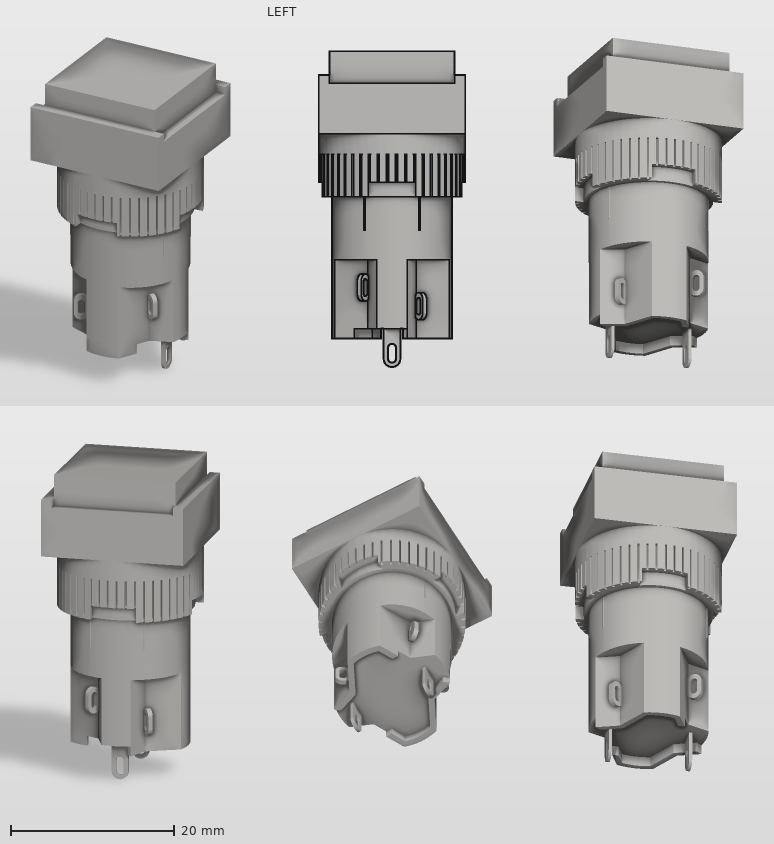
import cadquery as cq
import math

TOP_Z = 38.7
BEZEL_TOP_Z = 35.8
FINGER_LEDGE_Z = 34.75
BEZEL_BOTTOM_Z = 28.6
NUT_BOTTOM_Z = 20.85
GUIDE_BOTTOM_Z = 16.8
POCKET_TOP_Z = 13.15
SKIRT_TOP_Z = 4.72
SKIRT_BOTTOM_Z = 3.5

BEZEL_WIDTH = 18.0
CAP_WIDTH = 15.35

BARREL_RADIUS = 14.7 / 2
GUIDE_LENGTH = 13.15
GUIDE_WIDTH = 6.9

POCKET_CORNER = (4.3, 2.98)
POCKET_SIDE_Y = 1.85
POCKET_FRONT_X = 2.3

SKIRT_WALL = 0.75
OPENING_INNER = (6.45, 1.35)
OPENING_END_Y = -4.6

TERMINAL_X = 5.07
TERMINAL_THICKNESS = 0.4
TERMINAL_WIDTH = 2.1
TERMINAL_SLOT_WIDTH = 0.95
TERMINAL_SLOT_LENGTH = 2.3
TERMINAL_SLOT_Z = 1.7

LUG_ANGLE = 35.0
LUG_RADIUS = 6.08
LUG_THICKNESS = 0.58
LUG_WIDTH = 1.85
LUG_HEIGHT = 3.33
LUG_SLOT_WIDTH = 0.85
LUG_SLOT_HEIGHT = 2.1
LUG_LOW_Z = 7.45
LUG_HIGH_Z = 9.75

NUT_RADIUS = BEZEL_WIDTH / 2
NOTCH_WIDTH = 5.75
NOTCH_HEIGHT = 1.78
NOTCH_RADIUS = 7.95
NOTCH_COUNT = 4
GROOVE_COUNT = 50
GROOVE_WIDTH = 0.25
GROOVE_DEPTH = 0.45
GROOVE_TOP_Z = 26.1


def cylinder(radius, bottom, top):
    return cq.Workplane("XY").workplane(offset=bottom).circle(radius).extrude(top - bottom)


def block(x_size, y_size, bottom, top):
    return cq.Workplane("XY").workplane(offset=bottom).rect(x_size, y_size).extrude(top - bottom)


def make_head():
    """Square bezel with the cap on top and a finger recess along its -X and +X edges."""
    bezel = block(BEZEL_WIDTH, BEZEL_WIDTH, BEZEL_BOTTOM_Z, BEZEL_TOP_Z)
    finger_recess = block(BEZEL_WIDTH, CAP_WIDTH, FINGER_LEDGE_Z, BEZEL_TOP_Z)
    cap = block(CAP_WIDTH, CAP_WIDTH, FINGER_LEDGE_Z, TOP_Z)
    return bezel.cut(finger_recess).union(cap)


def make_guide():
    """Rectangular bar along the barrel axis, reaching up to the bezel."""
    return block(GUIDE_LENGTH, GUIDE_WIDTH, GUIDE_BOTTOM_Z, BEZEL_BOTTOM_Z)


def make_pockets(margin, top):
    """Four mirrored V prisms whose walls are moved into the barrel by the margin."""
    corner_x, corner_y = POCKET_CORNER
    side_x = math.sqrt(BARREL_RADIUS**2 - POCKET_SIDE_Y**2)
    front_y = math.sqrt(BARREL_RADIUS**2 - POCKET_FRONT_X**2)
    side_end = (2 * side_x - corner_x, 2 * POCKET_SIDE_Y - corner_y)
    front_end = (2 * POCKET_FRONT_X - corner_x, 2 * front_y - corner_y)
    outline = cq.Workplane("XY").workplane(offset=SKIRT_BOTTOM_Z)
    outline = outline.polyline([POCKET_CORNER, side_end, (side_end[0], front_end[1]), front_end]).close()
    if margin > 0:
        outline = outline.offset2D(margin, "intersection")
    pocket = outline.extrude(top - SKIRT_BOTTOM_Z)
    pair = pocket.union(pocket.mirror("XZ"))
    return pair.union(pair.mirror("YZ"))


def make_skirt_cavity():
    """Hollow that leaves a wall of even thickness along the barrel and the pockets."""
    hollow = cylinder(BARREL_RADIUS - SKIRT_WALL, SKIRT_BOTTOM_Z, SKIRT_TOP_Z)
    return hollow.cut(make_pockets(SKIRT_WALL, SKIRT_TOP_Z))


def make_skirt_opening():
    """Gap in the skirt wall around the +X terminal and the +X -Y pocket corner."""
    inner_x, inner_y = OPENING_INNER
    outer_y = POCKET_SIDE_Y
    outer_x = math.sqrt(BARREL_RADIUS**2 - outer_y**2)
    beyond = (2 * outer_x - inner_x, 2 * outer_y - inner_y)
    outline = [(0, 0), OPENING_INNER, beyond, (beyond[0], OPENING_END_Y), (0, OPENING_END_Y)]
    gap = cq.Workplane("XY").workplane(offset=SKIRT_BOTTOM_Z).polyline(outline).close()
    return gap.extrude(SKIRT_TOP_Z - SKIRT_BOTTOM_Z)


def make_terminal(x):
    """Straight terminal with a round tip and a solder slot."""
    blade = (
        cq.Workplane("YZ")
        .moveTo(-TERMINAL_WIDTH / 2, SKIRT_TOP_Z)
        .lineTo(-TERMINAL_WIDTH / 2, TERMINAL_WIDTH / 2)
        .threePointArc((0, 0), (TERMINAL_WIDTH / 2, TERMINAL_WIDTH / 2))
        .lineTo(TERMINAL_WIDTH / 2, SKIRT_TOP_Z)
        .close()
        .extrude(TERMINAL_THICKNESS / 2, both=True)
    )
    slot = (
        cq.Workplane("YZ")
        .center(0, TERMINAL_SLOT_Z)
        .slot2D(TERMINAL_SLOT_LENGTH, TERMINAL_SLOT_WIDTH, 90)
        .extrude(TERMINAL_THICKNESS, both=True)
    )
    return blade.cut(slot).translate((x, 0, 0))


def make_lug(angle, z):
    """Upright rounded lug with a slot, standing radially in a pocket corner."""
    profile = cq.Workplane("XZ").center(LUG_RADIUS, z)
    plate = profile.slot2D(LUG_HEIGHT, LUG_WIDTH, 90).extrude(LUG_THICKNESS / 2, both=True)
    slot = profile.slot2D(LUG_SLOT_HEIGHT, LUG_SLOT_WIDTH, 90).extrude(LUG_THICKNESS, both=True)
    return plate.cut(slot).rotate((0, 0, 0), (0, 0, 1), angle)


def make_switch():
    """Head, barrel, skirt and terminals in one piece."""
    switch = cylinder(BARREL_RADIUS, SKIRT_BOTTOM_Z, BEZEL_BOTTOM_Z)
    switch = switch.union(make_guide())
    switch = switch.cut(make_pockets(0, POCKET_TOP_Z))
    switch = switch.cut(make_skirt_cavity())
    opening = make_skirt_opening()
    for turn in (0, 180):
        switch = switch.cut(opening.rotate((0, 0, 0), (0, 0, 1), turn))
    switch = switch.union(make_head())
    for x in (-TERMINAL_X, TERMINAL_X):
        switch = switch.union(make_terminal(x))
    for turn in (0, 180):
        switch = switch.union(make_lug(turn + LUG_ANGLE, LUG_LOW_Z))
        switch = switch.union(make_lug(turn - LUG_ANGLE, LUG_HIGH_Z))
    return switch


def make_nut():
    """Ring under the bezel with grooves all round and four notches in its lower edge."""
    nut = cylinder(NUT_RADIUS, NUT_BOTTOM_Z, BEZEL_BOTTOM_Z)
    groove = (
        block(2 * GROOVE_DEPTH, GROOVE_WIDTH, NUT_BOTTOM_Z, GROOVE_TOP_Z)
        .translate((NUT_RADIUS, 0, 0))
    )
    for index in range(GROOVE_COUNT):
        nut = nut.cut(groove.rotate((0, 0, 0), (0, 0, 1), -90 + index * 360 / GROOVE_COUNT))
    notch_top = NUT_BOTTOM_Z + NOTCH_HEIGHT
    notch = block(NUT_RADIUS, NOTCH_WIDTH, NUT_BOTTOM_Z, notch_top)
    notch = notch.translate((NUT_RADIUS, 0, 0)).cut(cylinder(NOTCH_RADIUS, NUT_BOTTOM_Z, notch_top))
    for index in range(NOTCH_COUNT):
        nut = nut.cut(notch.rotate((0, 0, 0), (0, 0, 1), index * 360 / NOTCH_COUNT))
    bore = cylinder(BARREL_RADIUS, NUT_BOTTOM_Z, BEZEL_BOTTOM_Z)
    return nut.cut(bore).cut(make_guide())


switch = make_switch()
mounting_nut = make_nut()

result = cq.Compound.makeCompound([switch.val(), mounting_nut.val()])